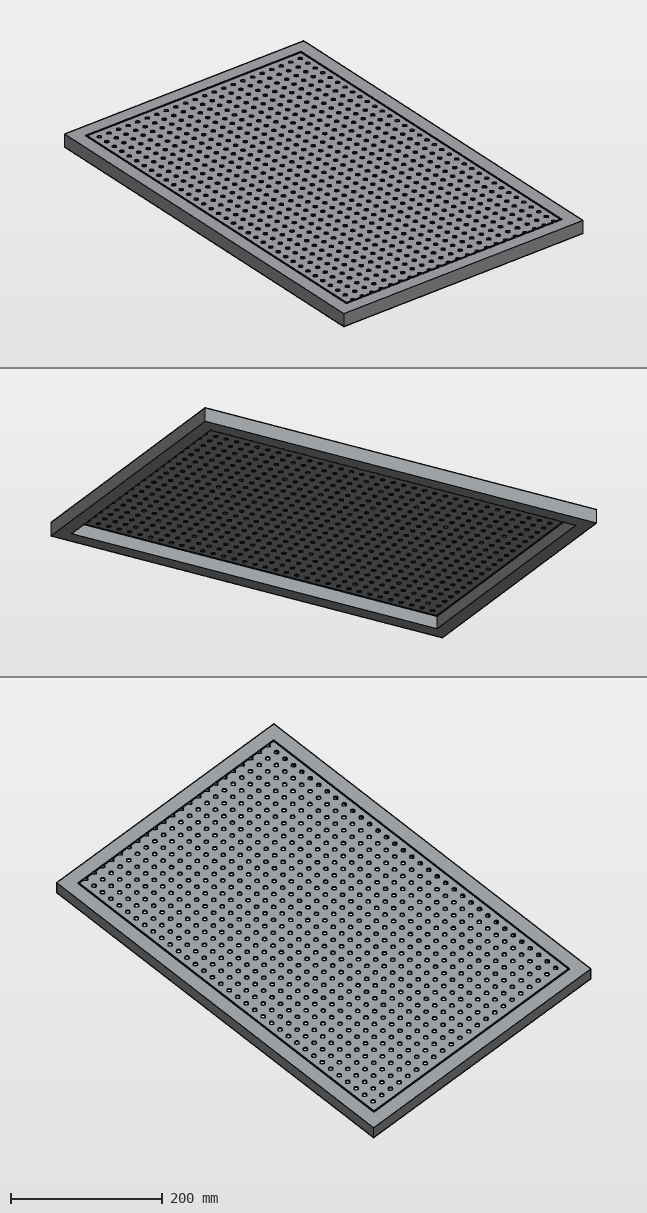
import cadquery as cq

length = 600.0
width = length * 2 / 3
height = length / 30
rim = height
opening_length = length - 2 * rim
opening_width = width - 2 * rim

panel_thickness = 0.1 * rim

groove_width = panel_thickness / 2
groove_depth = groove_width

hole_diameter = 6.0
pitch = 0.8 * rim
columns = 35
rows = 22
grid_shift = 6.0


def make_frame():
    """Rectangular frame, open at the bottom."""
    return (
        cq.Workplane("XY")
        .rect(length, width)
        .rect(opening_length, opening_width)
        .extrude(height)
    )


def make_groove():
    """Rectangular ring sunk into the panel's top face."""
    return (
        cq.Workplane("XY")
        .workplane(offset=panel_thickness - groove_depth)
        .rect(opening_length, opening_width)
        .rect(opening_length - 2 * groove_width, opening_width - 2 * groove_width)
        .extrude(groove_depth)
    )


def make_holes():
    return (
        cq.Workplane("XY")
        .center(grid_shift, 0)
        .rarray(pitch, pitch, columns, rows)
        .circle(hole_diameter / 2)
        .extrude(panel_thickness)
    )


def make_panel():
    """Panel whose last hole column reaches the frame and is cut off there."""
    blank = cq.Workplane("XY").rect(opening_length, opening_width).extrude(panel_thickness)
    return blank.cut(make_groove()).cut(make_holes())


panel_base = height - panel_thickness
result = make_frame().union(make_panel().translate((0, 0, panel_base)))